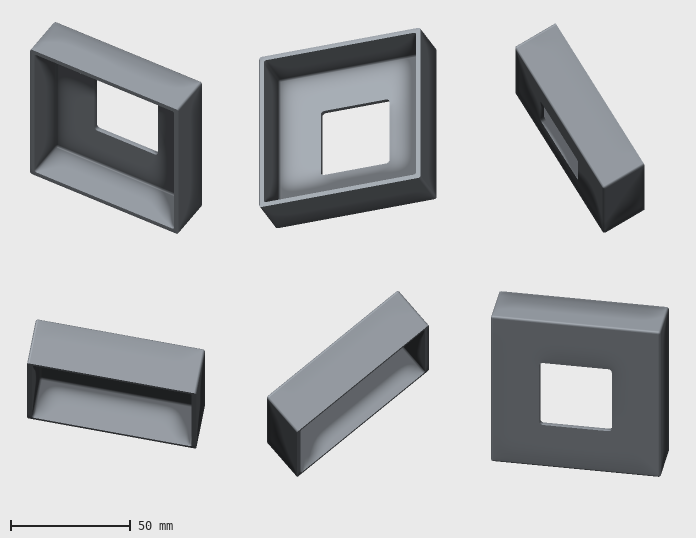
import cadquery as cq

side = 72.0
depth = 20.0
outer_radius = 1.0

wall = 2.0
floor_thickness = 2.0
cavity_radius = 1.0
cavity_side = side - 2 * wall
cavity_depth = depth - floor_thickness

window_side = 30.7
window_radius = 1.5


def square_block(width, length):
    """Square bar centred on the Y axis, running from Y = 0 toward +Y."""
    return cq.Workplane("XY").box(width, length, width, centered=(True, False, True))


body = square_block(side, depth).edges("|Y or >Y").fillet(outer_radius)

cavity = square_block(cavity_side, cavity_depth).edges("|Y or >Y").fillet(cavity_radius)

window = square_block(window_side, depth).edges("|Y").fillet(window_radius)

result = body.cut(cavity).cut(window)